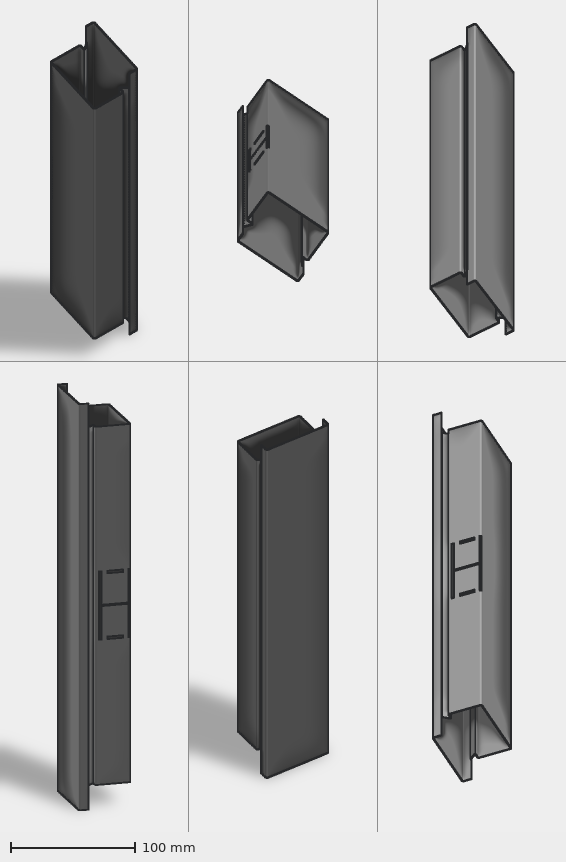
import cadquery as cq
import math

width = 60.2
depth = 43.5
cover_length = 340.0
base_length = 300.0
sheet = 0.85
outer_radius = 1.7
inner_radius = outer_radius - sheet

half_width = width / 2
front_y = -depth / 2
back_y = depth / 2

flange_end_y = 13.5
lip_end_y = 14.0
shelf_y = 8.0
groove_depth = 5.5
tip_radius = 1.0

knockout_height = 57.0
knockout_back_y = 4.8
slot = 2.0
split_slot = 1.0
front_slot_y = -20.5
front_slot = 1.5
hinge_slot_back_y = -2.5
hinge_slot_front_y = -15.3


def mirrored(points):
    """The same points on the +X side, in reverse order."""
    return [(-x, y) for x, y in reversed(points)]


def extrude_profile(left_outside, left_inside, length):
    """Symmetric open channel, from its -X outlines running away from the centre."""
    outline = mirrored(left_outside) + left_outside + left_inside[::-1] + mirrored(left_inside)[::-1]
    return cq.Workplane("XY").polyline(outline).close().extrude(length / 2, both=True)


def bend(body, corner, radius):
    """Round the long edge at a section corner and its mirror on the +X side."""
    x, y = corner
    reach = 0.05
    for side in (x, -x):
        picker = cq.selectors.BoxSelector(
            (side - reach, y - reach, -reach), (side + reach, y + reach, reach)
        )
        body = body.edges("|Z").edges(picker).fillet(radius)
    return body


def make_cover():
    outer_corner = (-half_width, back_y)
    inner_corner = (-half_width + sheet, back_y - sheet)
    outside = [outer_corner, (-half_width, flange_end_y)]
    inside = [inner_corner, (-half_width + sheet, flange_end_y)]
    cover = extrude_profile(outside, inside, cover_length)
    cover = bend(cover, outer_corner, outer_radius)
    return bend(cover, inner_corner, inner_radius)


def make_base_shell():
    root_x = -half_width + groove_depth
    lip_x = -half_width + sheet
    lip_angle = math.atan2(lip_end_y - shelf_y, root_x - lip_x)
    lip_run = sheet / math.sin(lip_angle)
    shelf_under_y = shelf_y - sheet
    tip_x = root_x + lip_run + sheet / math.tan(lip_angle)

    front_outer = (-half_width, front_y)
    front_inner = (-half_width + sheet, front_y + sheet)
    shelf_outer = (-half_width, shelf_y)
    shelf_inner = (-half_width + sheet, shelf_under_y)
    tip = (tip_x, shelf_under_y)

    outside = [front_outer, shelf_outer, (root_x, shelf_y), (lip_x, lip_end_y)]
    inside = [front_inner, shelf_inner, tip, (lip_x + lip_run, lip_end_y)]
    base = extrude_profile(outside, inside, base_length)
    for corner in (front_outer, shelf_outer):
        base = bend(base, corner, outer_radius)
    for corner in (front_inner, shelf_inner):
        base = bend(base, corner, inner_radius)
    return bend(base, tip, tip_radius)


def wall_slot(y_min, y_max, z_center, height):
    """Cutter through the -X wall only."""
    cut_depth = 4 * sheet
    return cq.Workplane("XY").box(cut_depth, y_max - y_min, height).translate(
        (-half_width, (y_min + y_max) / 2, z_center)
    )


def cut_knockout(base):
    back_slot_start = knockout_back_y - slot
    front_slot_start = front_slot_y - front_slot / 2
    front_slot_end = front_slot_y + front_slot / 2
    back_slot = wall_slot(back_slot_start, knockout_back_y, 0, knockout_height)
    front_slot_cutter = wall_slot(front_slot_start, front_slot_end, 0, knockout_height)
    split = wall_slot(front_slot_end, back_slot_start, 0, split_slot)
    for cutter in (back_slot, front_slot_cutter, split):
        base = base.cut(cutter)

    hinge_z = (knockout_height - slot) / 2
    for z in (-hinge_z, hinge_z):
        base = base.cut(wall_slot(hinge_slot_front_y, hinge_slot_back_y, z, slot))
    return base


cover = make_cover()
base = cut_knockout(make_base_shell())

result = cq.Compound.makeCompound([cover.val(), base.val()])